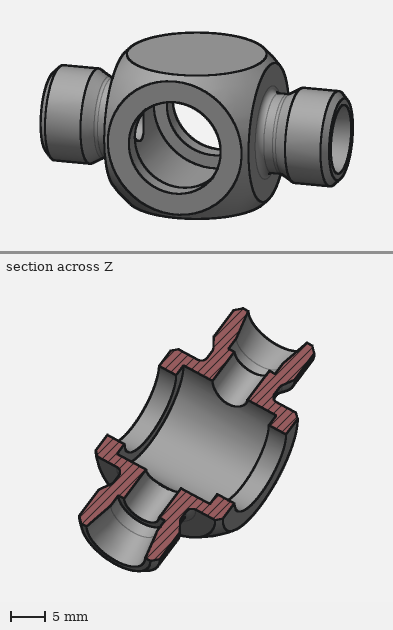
import cadquery as cq
import math

body_size = 22.0
face_circle_diameter = 20.4
half_body = body_size / 2
sphere_radius = math.hypot(half_body, face_circle_diameter / 2)

cross_bore_diameter = 14.0
chamber_diameter = 18.0
chamber_width = 16.0

overall_length = 44.0
half_length = overall_length / 2
stud_diameter = 14.0
stud_radius = stud_diameter / 2
tip_chamfer = 1.0
neck_diameter = 11.7
neck_radius = neck_diameter / 2
undercut_width = 4.6
undercut_angle = math.radians(30)
neck_fillet = 1.0

mouth_diameter = 10.1
mouth_half_angle = math.radians(12)
socket_diameter = 8.0
socket_depth = 7.0
passage_diameter = 6.0


def make_body():
    cube = cq.Workplane("XY").box(body_size, body_size, body_size)
    sphere = cq.Workplane("XY").sphere(sphere_radius)
    return cube.intersect(sphere)


def revolve_about_x(profile):
    return profile.close().revolve(360, (0, 0, 0), (1, 0, 0))


def make_stud():
    """Stud on the +X side, with a filleted undercut next to the body."""
    undercut_end = half_body + undercut_width
    neck_end = undercut_end - (stud_radius - neck_radius) / math.tan(undercut_angle)

    root_overlap_x = chamber_diameter / 2

    root_start = (half_body, neck_radius + neck_fillet)
    root_mid = (
        half_body + neck_fillet * (1 - math.cos(math.pi / 4)),
        neck_radius + neck_fillet * (1 - math.sin(math.pi / 4)),
    )
    root_end = (half_body + neck_fillet, neck_radius)

    cone_fillet_start_x = neck_end - neck_fillet * math.tan(undercut_angle / 2)

    def cone_fillet_point(angle):
        return (
            cone_fillet_start_x + neck_fillet * math.sin(angle),
            neck_radius + neck_fillet * (1 - math.cos(angle)),
        )

    profile = (
        cq.Workplane("XY")
        .moveTo(root_overlap_x, 0)
        .lineTo(root_overlap_x, root_start[1])
        .lineTo(*root_start)
        .threePointArc(root_mid, root_end)
        .lineTo(cone_fillet_start_x, neck_radius)
        .threePointArc(cone_fillet_point(undercut_angle / 2), cone_fillet_point(undercut_angle))
        .lineTo(undercut_end, stud_radius)
        .lineTo(half_length - tip_chamfer, stud_radius)
        .lineTo(half_length, stud_radius - tip_chamfer)
        .lineTo(half_length, 0)
    )
    return revolve_about_x(profile)


def make_stud_passage():
    """Stepped hole through the +X stud into the middle of the body."""
    mouth_radius = mouth_diameter / 2
    socket_radius = socket_diameter / 2
    passage_radius = passage_diameter / 2
    mouth_depth = (mouth_radius - socket_radius) / math.tan(mouth_half_angle)
    profile = (
        cq.Workplane("XY")
        .lineTo(0, passage_radius)
        .lineTo(half_length - socket_depth, passage_radius)
        .lineTo(half_length - socket_depth, socket_radius)
        .lineTo(half_length - mouth_depth, socket_radius)
        .lineTo(half_length, mouth_radius)
        .lineTo(half_length, 0)
    )
    return revolve_about_x(profile)


def cylinder_along_y(diameter, length):
    return cq.Workplane("XZ").circle(diameter / 2).extrude(length / 2, both=True)


def both_sides(shape):
    return shape.union(shape.mirror("YZ"))


result = (
    make_body()
    .union(both_sides(make_stud()))
    .cut(cylinder_along_y(cross_bore_diameter, body_size))
    .cut(cylinder_along_y(chamber_diameter, chamber_width))
    .cut(both_sides(make_stud_passage()))
)